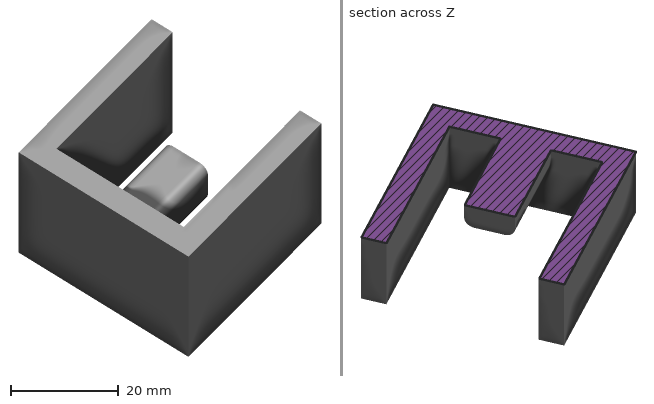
import cadquery as cq

width = 40.0
depth = 40.0
height = 30.0
wall = 5.0
post_size = 10.0
post_length = 20.0
post_edge_radius = 2.0

back_wall_inner_y = -depth / 2 + wall


def make_channel():
    """U-shaped channel, open towards +Y and through the full height."""
    block = cq.Workplane("XY").box(width, depth, height)
    opening = (
        cq.Workplane("XY")
        .box(width - 2 * wall, depth - wall, height)
        .translate((0, wall / 2, 0))
    )
    return block.cut(opening)


def make_post():
    """Square post with rounded long edges, standing on the inner face of the cross wall."""
    post_centre_y = back_wall_inner_y + post_length / 2
    return (
        cq.Workplane("XY")
        .box(post_size, post_length, post_size)
        .edges("|Y")
        .fillet(post_edge_radius)
        .translate((0, post_centre_y, 0))
    )


result = make_channel().union(make_post())